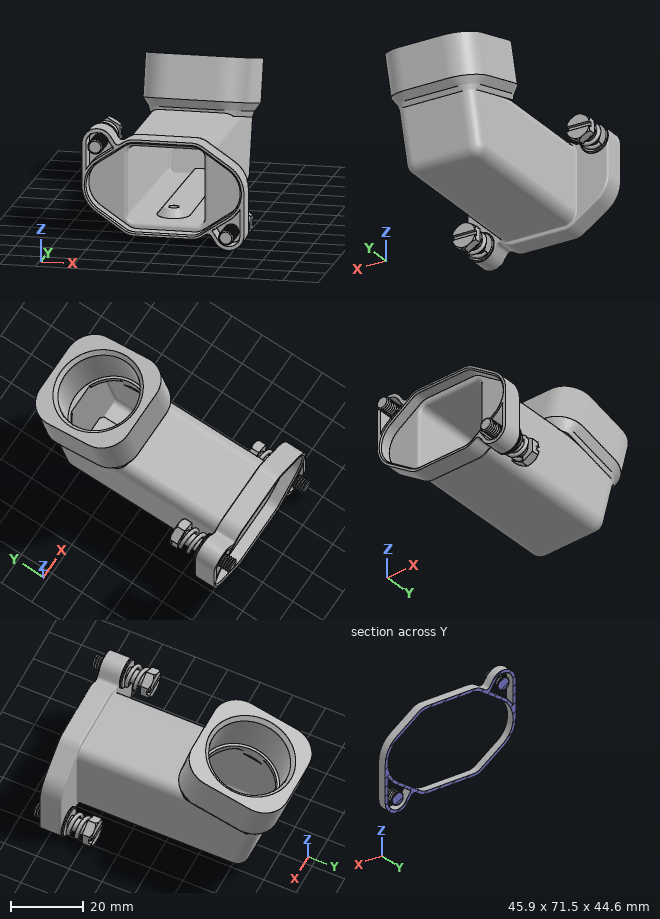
import cadquery as cq
import math


total_length = 71.5

flange_depth = 6.5
flange_half_width = 22.95
flange_half_height = 13.8
flange_side_radius = 9.15
flange_corner_radius = 5.7
flange_slant_angle = 34.3
flange_edge_radius = 0.6
rim_wall = 1.15
rim_chamfer = 0.4
recess_depth = 3.85

ear_radius = 4.4
screw_x = flange_half_width - ear_radius
screw_z = 11.95
ear_side_angle = 33.0
ear_side_length = 8.6
ear_notch_radius = 1.15
ear_wall = 1.15
ear_pocket_depth = 4.65

barrel_half = 12.6
barrel_corner_radius = 3.6
barrel_root_radius = 0.35
cavity_half = 10.9
cavity_corner_radius = 2.0
cavity_draft = 0.5
cavity_mouth_radius = 1.1
cavity_floor_radius = 0.65
cavity_back = 9.9

neck_tilt = 15.0
collar_half = 15.1
collar_corner_radius = 8.1
collar_base_height = 3.1
collar_height = 12.45
neck_root_rise = 0.7
neck_root_drop = 0.85
bore_radius = 11.65
bore_depth = 14.2
bore_chamfer = 1.15
neck_hole_radius = 10.9
neck_hole_drop = 2.15

rib_height = 2.2
rib_base_radius = 4.7
rib_top_radius = 2.85
rib_edge_radius = 0.35
rib_end_y = 14.3
rib_hole_radius = 1.4
rib_hole_depth = 2.85

screw_tip = -3.3
thread_radius = 2.1
thread_core_radius = 1.7
thread_pitch = 0.7
washer_height = 0.65
washer_chamfer = 0.3
spring_radius = 3.1
spring_wire_radius = 0.61
spring_pitch = 2.6
spring_start_angle = 225.0
head_start = 12.65
head_height = 2.8
head_flats = 7.4
head_chamfer = 0.5
slot_width = 1.35
slot_depth = 0.9

reach = 85.8

tilt = math.radians(neck_tilt)
neck_height = collar_base_height + collar_height
neck_y = total_length + screw_tip - neck_height * math.sin(tilt) - collar_half * math.cos(tilt)
neck_base = cq.Vector(0, neck_y, barrel_half * (1 - math.sin(tilt)))
neck_axis = cq.Vector(0, math.sin(tilt), math.cos(tilt))
neck_across = cq.Vector(0, math.cos(tilt), -math.sin(tilt))


def xz_plane(y):
    return cq.Workplane("XZ", origin=(0, y, 0))


def neck_plane(height):
    """Plane across the neck axis; its local y points to the back of the hood."""
    return cq.Workplane(cq.Plane(neck_base + neck_axis * height, xDir=(1, 0, 0), normal=neck_axis))


def both_corners(shape):
    """The shape together with its copy turned half a turn about the barrel axis."""
    return shape.union(shape.rotate((0, 0, 0), (0, 1, 0), 180))


def box_around(centre, size_x, size_y, size_z):
    """Selector for edges whose middle lies in a box around a point."""
    half = cq.Vector(size_x / 2, size_y / 2, size_z / 2)
    return cq.selectors.BoxSelector((centre - half).toTuple(), (centre + half).toTuple())


def flange_plate(inset, depth):
    """Six-sided plate with rounded corners, inset evenly from the flange outline."""
    slant = math.radians(flange_slant_angle)
    side_radius = flange_side_radius - inset
    half_height = flange_half_height - inset
    tip_x = flange_half_width - flange_side_radius + side_radius / math.sin(slant)
    corner_x = tip_x - half_height / math.tan(slant)
    plate = (
        xz_plane(0)
        .polyline([
            (-tip_x, 0), (-corner_x, half_height), (corner_x, half_height),
            (tip_x, 0), (corner_x, -half_height), (-corner_x, -half_height),
        ])
        .close()
        .extrude(-depth)
    )
    plate = plate.edges("|Y").edges("<Z or >Z").fillet(flange_corner_radius - inset)
    return plate.edges("|Y").edges("<X or >X").fillet(side_radius)


def ear_plate(inset, depth):
    """Upper left ear: a round end with a straight outer side and a slanted inner side."""
    angle = math.radians(ear_side_angle)
    radius = ear_radius - inset
    ear_x = -screw_x
    tangent = (ear_x + radius * math.cos(angle), screw_z + radius * math.sin(angle))
    foot = (tangent[0] + ear_side_length * math.sin(angle), tangent[1] - ear_side_length * math.cos(angle))
    return (
        xz_plane(0)
        .moveTo(ear_x - radius, 0)
        .lineTo(ear_x - radius, screw_z)
        .threePointArc((ear_x, screw_z + radius), tangent)
        .lineTo(*foot)
        .lineTo(foot[0], 0)
        .close()
        .extrude(-depth)
    )


def make_flange():
    plate = flange_plate(0, flange_depth)
    plate = plate.union(both_corners(ear_plate(0, flange_depth)))
    for side in (-1, 1):
        notch = cq.selectors.NearestToPointSelector((side * barrel_half, flange_depth / 2, -side * screw_z))
        plate = plate.edges("|Y").edges(notch).fillet(ear_notch_radius)
    plate = plate.faces(">Y").edges().fillet(flange_edge_radius)
    pocket = ear_plate(ear_wall, ear_pocket_depth).cut(flange_plate(0, flange_depth))
    return plate.cut(both_corners(pocket))


def make_recess():
    recess = flange_plate(rim_wall, recess_depth)
    mouth = flange_plate(rim_wall - rim_chamfer, rim_chamfer).faces(">Y").chamfer(rim_chamfer * 0.99)
    return recess.union(mouth)


def rounded_square(plane, half, corner_radius):
    return plane.placeSketch(cq.Sketch().rect(2 * half, 2 * half).vertices().fillet(corner_radius))


def bar_along_y(half, corner_radius, start, draft):
    bar = rounded_square(xz_plane(start), half, corner_radius)
    return bar.extrude(-reach, taper=draft)


def make_barrel():
    back_top = neck_base + neck_across * barrel_half
    front_top_y = (neck_base - neck_across * barrel_half).y
    back_foot_y = back_top.y - (back_top.z + barrel_half) * math.tan(tilt)
    start = flange_depth / 2
    barrel = (
        cq.Workplane("YZ")
        .polyline([
            (start, -barrel_half), (back_foot_y, -barrel_half), (back_top.y, back_top.z),
            (front_top_y, barrel_half), (start, barrel_half),
        ])
        .close()
        .extrude(barrel_half, both=True)
    )
    rounded = barrel.faces("<Z").edges("|Y or >Y")
    rounded = rounded.add(barrel.faces(">Z").edges("|Y"))
    rounded = rounded.add(barrel.edges(cq.selectors.ParallelDirSelector(neck_axis)))
    return rounded.fillet(barrel_corner_radius)


def neck_loft(bottom, lower, top, upper):
    """Loft along the neck axis between two rounded squares, each given as (half side, corner radius)."""
    sections = []
    for height, (half, radius) in ((bottom, lower), (top, upper)):
        section = cq.Sketch().rect(2 * half, 2 * half).vertices().fillet(radius)
        sections.append(section.moved(cq.Location(cq.Vector(0, 0, height - bottom))))
    return neck_plane(bottom).placeSketch(*sections).loft()


def make_collar():
    base = (barrel_half, barrel_corner_radius)
    rim = (collar_half, collar_corner_radius)
    part_way = neck_root_rise / collar_base_height
    root = tuple(low + part_way * (high - low) for low, high in zip(base, rim))
    collar = rounded_square(neck_plane(collar_base_height), *rim).extrude(collar_height)
    flare = neck_loft(0, base, collar_base_height, rim)
    return collar.union(flare).union(neck_loft(-neck_root_drop, base, neck_root_rise, root))


def cavity_limit(top):
    """Space in front of the cavity's tilted back wall and below the neck plane at height top."""
    return (
        neck_plane(top)
        .center(0, cavity_back - reach / 2)
        .rect(2 * barrel_half, reach)
        .extrude(-reach)
    )


def make_cavity():
    cavity = bar_along_y(cavity_half, cavity_corner_radius, recess_depth, cavity_draft)
    cavity = cavity.intersect(cavity_limit(0))
    back_of_floor = cq.selectors.NearestToPointSelector((0, neck_y, -barrel_half))
    cavity = cavity.edges("|X").edges(back_of_floor).fillet(cavity_floor_radius)
    shelf_height = neck_height - bore_depth
    hole = neck_plane(-neck_hole_drop).circle(neck_hole_radius).extrude(shelf_height + neck_hole_drop)
    return cavity.union(hole.intersect(cavity_limit(shelf_height)))


def make_bore():
    bore = neck_plane(neck_height).circle(bore_radius).extrude(-bore_depth)
    chamfer = (
        neck_plane(neck_height)
        .circle(bore_radius + bore_chamfer)
        .workplane(offset=-bore_chamfer)
        .circle(bore_radius)
        .loft()
    )
    return bore.union(chamfer)


def make_rib():
    """Floor rib from the back wall to a conical end."""
    floor_z = -cavity_half
    sides = (
        xz_plane(rib_end_y)
        .polyline([
            (-rib_base_radius, floor_z), (-rib_top_radius, floor_z + rib_height),
            (rib_top_radius, floor_z + rib_height), (rib_base_radius, floor_z),
        ])
        .close()
        .extrude(-reach)
    )
    end = (
        cq.Workplane("XY", origin=(0, rib_end_y, floor_z))
        .circle(rib_base_radius)
        .workplane(offset=rib_height)
        .circle(rib_top_radius)
        .loft()
    )
    return sides.union(end).faces(">Z").edges().fillet(rib_edge_radius)


def make_rib_hole():
    rib_top = rib_height - cavity_half
    return cq.Workplane("XY", origin=(0, rib_end_y, rib_top)).circle(rib_hole_radius).extrude(-rib_hole_depth)


def barrel_root():
    """Edges where the barrel rises from the back of the flange."""
    width = 2 * barrel_half + 0.15
    return box_around(cq.Vector(0, flange_depth, 0), width, 0.15, width)


def cavity_mouth():
    """Edges where the cavity opens into the recess floor."""
    width = 2 * cavity_half + 0.7
    return box_around(cq.Vector(0, recess_depth, 0), width, 0.15, width)


def make_screw():
    """Slotted hex screw with a washer and a compression spring, along the Y axis."""
    thread_end = ear_pocket_depth
    profile = [(0, screw_tip), (thread_core_radius, screw_tip)]
    for turn in range(int((thread_end - screw_tip) / thread_pitch)):
        y = screw_tip + turn * thread_pitch
        profile += [(thread_radius, y + thread_pitch / 2), (thread_core_radius, y + thread_pitch)]
    profile += [(thread_radius, thread_end), (thread_radius, head_start), (0, head_start)]
    shank = cq.Workplane("XY").polyline(profile).close().revolve(360, (0, 0, 0), (0, 1, 0))

    head_corners = head_flats / math.cos(math.radians(30))
    head = xz_plane(head_start).transformed(rotate=(0, 0, 90)).polygon(6, head_corners).extrude(-head_height)
    cone = xz_plane(head_start).circle(head_corners / 2).extrude(-head_height)
    cone = cone.faces(">Y").chamfer(head_chamfer)
    head = head.intersect(cone)
    slot = xz_plane(head_start + head_height).rect(head_corners, slot_width).extrude(slot_depth)
    head = head.cut(slot)

    washer = xz_plane(flange_depth).circle(ear_radius).extrude(-washer_height)
    washer = washer.faces(">Y").edges().chamfer(washer_chamfer)

    spring_start = flange_depth + washer_height
    spring_length = head_start - spring_start
    coil = cq.Wire.makeHelix(
        spring_pitch, spring_length, spring_radius,
        cq.Vector(0, spring_start, 0), cq.Vector(0, 1, 0), lefthand=True)
    start = coil.startPoint()
    wire = cq.Workplane(cq.Plane(start, normal=coil.tangentAt(0))).circle(spring_wire_radius)
    spring = wire.sweep(cq.Workplane(coil), isFrenet=True)
    spring = spring.rotate((0, 0, 0), (0, 1, 0), spring_start_angle)

    return shank.union(head).union(washer).union(spring)


hood = make_barrel().union(make_collar())
hood = hood.union(make_flange())
hood = hood.edges(barrel_root()).fillet(barrel_root_radius)
cavity = make_cavity()
hood = hood.cut(make_recess()).cut(cavity).cut(make_bore())
hood = hood.edges(cavity_mouth()).fillet(cavity_mouth_radius)
hood = hood.union(make_rib().intersect(cavity)).cut(make_rib_hole())

screw = make_screw()
for side in (-1, 1):
    hood = hood.union(screw.translate((side * screw_x, 0, -side * screw_z)))

result = hood